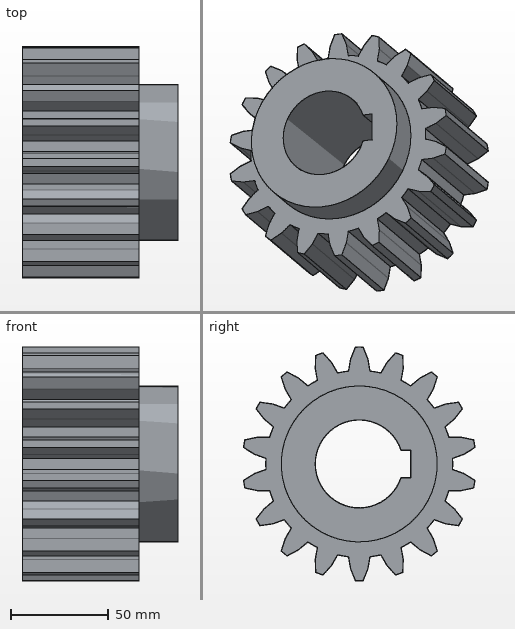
import cadquery as cq
import math

module = 6.0
tooth_count = 18
face_width = 60.0
pitch_radius = module * tooth_count / 2
tip_radius = pitch_radius + module
root_radius = pitch_radius - module

tip_thickness = 4.0
pitch_thickness = 8.97
root_share = 2 / 3
tooth_spacing = 2 * math.pi / tooth_count
first_tooth_angle = math.pi / 2

hub_radius = 40.0
hub_length = 20.0
bore_radius = 22.5
keyway_width = 14.0
keyway_depth = 3.8
total_length = face_width + hub_length


def polar(radius, angle):
    """Point in the YZ plane at an angle measured from +Y towards +Z."""
    return radius * math.cos(angle), radius * math.sin(angle)


def half_angle(thickness, radius):
    """Half of the angle that a chord of this length spans on a circle."""
    return math.asin(thickness / 2 / radius)


def make_gear():
    """Toothed body whose flanks are two flat faces meeting at the pitch radius."""
    tip_half = half_angle(tip_thickness, tip_radius)
    pitch_half = half_angle(pitch_thickness, pitch_radius)
    root_half = root_share * tooth_spacing / 2

    outline = cq.Workplane("YZ").moveTo(*polar(root_radius, first_tooth_angle - root_half))
    for index in range(tooth_count):
        center = first_tooth_angle + index * tooth_spacing
        gap_center = center + tooth_spacing / 2
        next_center = center + tooth_spacing
        outline = (
            outline
            .lineTo(*polar(pitch_radius, center - pitch_half))
            .lineTo(*polar(tip_radius, center - tip_half))
            .threePointArc(polar(tip_radius, center), polar(tip_radius, center + tip_half))
            .lineTo(*polar(pitch_radius, center + pitch_half))
            .lineTo(*polar(root_radius, center + root_half))
            .threePointArc(polar(root_radius, gap_center), polar(root_radius, next_center - root_half))
        )
    return outline.close().extrude(face_width)


def make_hub():
    """Plain cylindrical hub on the +X face of the gear."""
    return cq.Workplane("YZ").workplane(offset=face_width).circle(hub_radius).extrude(hub_length)


def make_bore():
    """Through bore with a keyway on its +Y side."""
    keyway_reach = bore_radius + keyway_depth
    bore = cq.Workplane("YZ").circle(bore_radius).extrude(total_length)
    keyway = (
        cq.Workplane("YZ")
        .center(keyway_reach / 2, 0)
        .rect(keyway_reach, keyway_width)
        .extrude(total_length)
    )
    return bore.union(keyway)


result = make_gear().union(make_hub()).cut(make_bore())